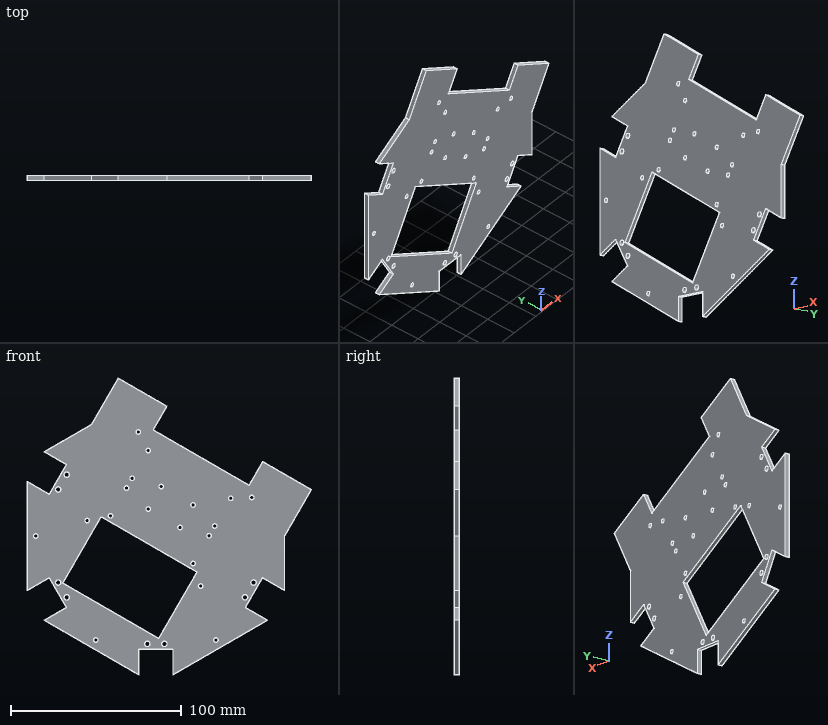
import cadquery as cq
import math

thickness = 3.0

apothem = 75.5
corner_half_turn = math.radians(30)
corner_radius = apothem / math.cos(corner_half_turn)
notched_corners = (150, 210, 270, 330)

notch_width = 20.0
notch_depth = 15.0
notch_tip = corner_radius - notch_width / 2 * math.tan(corner_half_turn)
notch_floor = notch_tip - notch_depth
notch_hole_diameter = 3.0
notch_hole_spacing = 10.0
notch_hole_setback = 3.2

small_hole_diameter = 2.5
drilled_flats = (180, 240, 300)
flat_hole_inset = 5.1

deck_tilt = -30
deck_half_width = apothem * math.cos(corner_half_turn)
deck_base = apothem * math.sin(corner_half_turn)
arm_tip = 69.12
arm_length = 16.0
arm_gap = 64.77
arm_root = arm_tip - arm_length

pattern_shift = -1.0
window_width = arm_gap
window_height = 44.8
window_top = -6.3
hole_pairs = (
    (38.37, 47.65),
    (27.95, 41.1),
    (27.95, 22.33),
    (27.95, 15.73),
    (27.95, -3.05),
    (38.37, -12.3),
    (10.78, 26.67),
    (10.78, 11.43),
)


def plane_at(angle):
    """XZ plane through the origin, facing -Y, with its x axis turned to angle from +X towards +Z."""
    turn = math.radians(angle)
    return cq.Plane(origin=(0, 0, 0), xDir=(math.cos(turn), 0, math.sin(turn)), normal=(0, -1, 0))


def sketch(angle):
    """Workplane midway through the plate thickness and turned to angle."""
    return cq.Workplane(plane_at(angle))


def prism(outline):
    """Closed outline extruded symmetrically to the plate thickness."""
    return outline.extrude(thickness / 2, both=True)


def make_body():
    """Plate outline: four hexagon corners, then the deck with its two arms, all in the deck's directions."""
    half_gap = arm_gap / 2
    outline = []
    for direction in notched_corners:
        turn = math.radians(direction - deck_tilt)
        outline.append((corner_radius * math.cos(turn), corner_radius * math.sin(turn)))
    outline += [
        (deck_half_width, deck_base),
        (deck_half_width, arm_tip),
        (half_gap, arm_tip),
        (half_gap, arm_root),
        (-half_gap, arm_root),
        (-half_gap, arm_tip),
        (-deck_half_width, arm_tip),
        (-deck_half_width, deck_base),
    ]
    return prism(sketch(deck_tilt).polyline(outline).close())


def make_notch(angle):
    """Cutter for one corner notch and the two holes behind it."""
    length = corner_radius - notch_floor
    slot = prism(sketch(angle).center(notch_floor + length / 2, 0).rect(length, notch_width))
    hole_distance = notch_floor - notch_hole_setback
    half_spacing = notch_hole_spacing / 2
    centres = [(hole_distance, -half_spacing), (hole_distance, half_spacing)]
    holes = prism(sketch(angle).pushPoints(centres).circle(notch_hole_diameter / 2))
    return slot.union(holes)


def make_flat_hole(angle):
    """Cutter for the small hole near the middle of one flat."""
    return prism(sketch(angle).center(apothem - flat_hole_inset, 0).circle(small_hole_diameter / 2))


def make_window():
    """Cutter for the rectangular window."""
    centre_height = window_top - window_height / 2
    return prism(sketch(deck_tilt).center(pattern_shift, centre_height).rect(window_width, window_height))


def make_deck_holes():
    """Cutter for the mirrored pairs of small deck holes."""
    centres = []
    for half_spacing, height in hole_pairs:
        for side in (-1, 1):
            centres.append((pattern_shift + side * half_spacing, height))
    return prism(sketch(deck_tilt).pushPoints(centres).circle(small_hole_diameter / 2))


plate = make_body()
for direction in notched_corners:
    plate = plate.cut(make_notch(direction))
for direction in drilled_flats:
    plate = plate.cut(make_flat_hole(direction))
result = plate.cut(make_window()).cut(make_deck_holes())